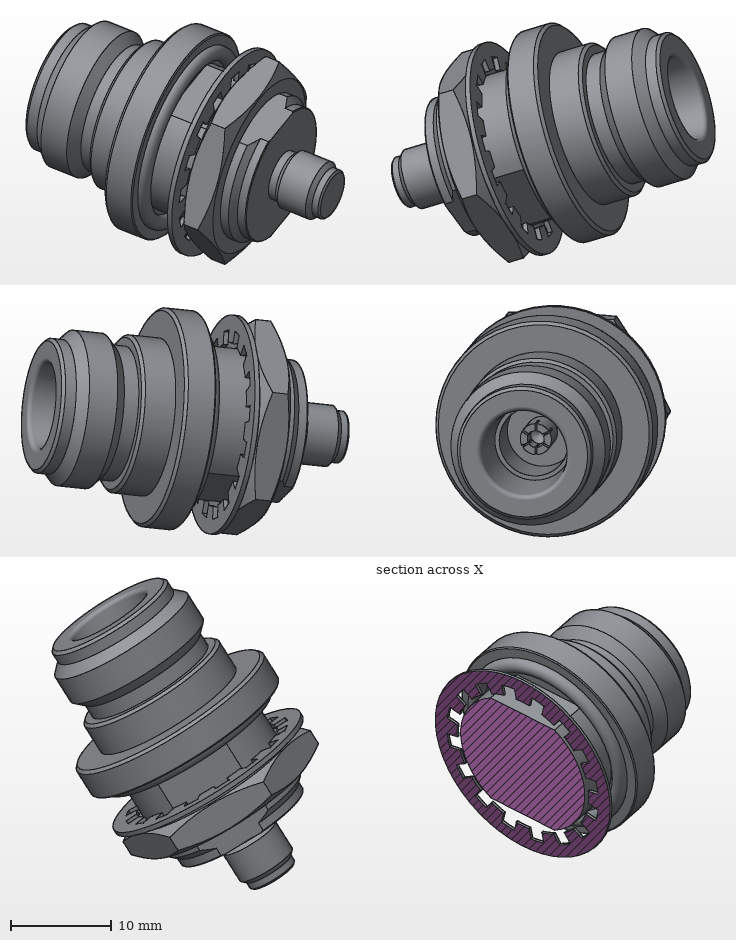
import cadquery as cq
import math

TOTAL_LENGTH = 31.55

COLLAR_RADIUS = 6.78
THREAD_RADIUS = 7.82
EDGE_CHAMFER = 0.3
FRONT_COLLAR_END = 1.45
THREAD_RUNOUT = THREAD_RADIUS - COLLAR_RADIUS
THREAD_END = 6.5
SHOULDER_START = 8.0
SHOULDER_RADIUS = 7.95

FLANGE_START = 11.5
FLANGE_END = 14.75
FLANGE_RADIUS = 11.0
FLANGE_REAR_CHAMFER = 0.13

BARREL_RADIUS = THREAD_RADIUS
BARREL_TIP_RADIUS = 7.15
BARREL_TAPER_START = 24.05
BARREL_TAPER_END = 24.7
BARREL_END = 25.68
BARREL_EDGE_CHAMFER = 0.1
FLAT_HEIGHT = 6.72

TAIL_NECK_RADIUS = 2.62
TAIL_THREAD_RADIUS = 3.1
TAIL_RUNOUT = TAIL_THREAD_RADIUS - TAIL_NECK_RADIUS
TAIL_NECK_END = 26.5
TAIL_THREAD_END = 30.67
TAIL_EDGE_CHAMFER = 0.2

BORE_RADIUS = 4.32
BORE_MOUTH_FILLET = 0.47
BORE_DEPTH = 5.75
BORE_SEAT_RADIUS = 3.95
CONTACT_BORE_RADIUS = 3.5
CONTACT_BORE_DEPTH = 10.4

PIN_RADIUS = 1.58
PIN_FACE = 6.95
PIN_HOLE_RADIUS = 0.85
PIN_HOLE_DEPTH = 1.9
DRILL_POINT_DEPTH = 0.47
PIN_SLOT_COUNT = 6
PIN_SLOT_WIDTH = 0.2
PIN_SLOT_DEPTH = 1.58

GASKET_OUTER_RADIUS = 9.85
GASKET_SECTION_RADIUS = 0.8
GASKET_STANDOFF = 0.95

WASHER_START = 18.85
WASHER_THICKNESS = 0.5
WASHER_RADIUS = FLANGE_RADIUS
TOOTH_TIP_RADIUS = 8.25
TOOTH_ROOT_RADIUS = 9.5
TOOTH_COUNT = 16
TOOTH_GAP_WIDTH = 1.58

NUT_START = 19.9
NUT_THICKNESS = 3.22
NUT_ACROSS_FLATS = 19.0
NUT_CHAMFER_LENGTH = 0.82
NUT_FACE_RADIUS = 9.35


def revolve_about_x(outline):
    """Revolve a closed sketch of (x, radius) points about the X axis."""
    return outline.close().revolve(360, (0, 0, 0), (1, 0, 0))


def cylinder(start, length, radius):
    return cq.Workplane("YZ", origin=(start, 0, 0)).circle(radius).extrude(length)


def make_large_end():
    points = [
        (0, 0),
        (0, COLLAR_RADIUS - EDGE_CHAMFER),
        (EDGE_CHAMFER, COLLAR_RADIUS),
        (FRONT_COLLAR_END, COLLAR_RADIUS),
        (FRONT_COLLAR_END + THREAD_RUNOUT, THREAD_RADIUS),
        (THREAD_END - THREAD_RUNOUT, THREAD_RADIUS),
        (THREAD_END, COLLAR_RADIUS),
        (SHOULDER_START, COLLAR_RADIUS),
        (SHOULDER_START, SHOULDER_RADIUS - EDGE_CHAMFER),
        (SHOULDER_START + EDGE_CHAMFER, SHOULDER_RADIUS),
        (FLANGE_START, SHOULDER_RADIUS),
        (FLANGE_START, 0),
    ]
    return revolve_about_x(cq.Workplane("XY").polyline(points))


def make_flange():
    flange = cylinder(FLANGE_START, FLANGE_END - FLANGE_START, FLANGE_RADIUS)
    return flange.faces("<X").chamfer(EDGE_CHAMFER).faces(">X").chamfer(FLANGE_REAR_CHAMFER)


def make_barrel():
    points = [
        (FLANGE_END, 0),
        (FLANGE_END, BARREL_RADIUS),
        (BARREL_TAPER_START, BARREL_RADIUS),
        (BARREL_TAPER_END, BARREL_TIP_RADIUS),
        (BARREL_END - BARREL_EDGE_CHAMFER, BARREL_TIP_RADIUS),
        (BARREL_END, BARREL_TIP_RADIUS - BARREL_EDGE_CHAMFER),
        (BARREL_END, 0),
    ]
    barrel = revolve_about_x(cq.Workplane("XY").polyline(points))
    outside_flats = (
        cylinder(FLANGE_END, BARREL_END - FLANGE_END, FLANGE_RADIUS)
        - cq.Workplane("XY").box(2 * TOTAL_LENGTH, 2 * FLANGE_RADIUS, 2 * FLAT_HEIGHT)
    )
    return barrel.cut(outside_flats)


def make_tail():
    points = [
        (BARREL_END, 0),
        (BARREL_END, TAIL_NECK_RADIUS),
        (TAIL_NECK_END, TAIL_NECK_RADIUS),
        (TAIL_NECK_END + TAIL_RUNOUT, TAIL_THREAD_RADIUS),
        (TAIL_THREAD_END - TAIL_RUNOUT, TAIL_THREAD_RADIUS),
        (TAIL_THREAD_END, TAIL_NECK_RADIUS),
        (TOTAL_LENGTH - TAIL_EDGE_CHAMFER, TAIL_NECK_RADIUS),
        (TOTAL_LENGTH, TAIL_NECK_RADIUS - TAIL_EDGE_CHAMFER),
        (TOTAL_LENGTH, 0),
    ]
    return revolve_about_x(cq.Workplane("XY").polyline(points))


def make_bore():
    """Volume of the stepped bore with its rounded mouth and tapered wall."""
    outline = (
        cq.Workplane("XY")
        .moveTo(0, 0)
        .lineTo(0, BORE_RADIUS + BORE_MOUTH_FILLET)
        .radiusArc((BORE_MOUTH_FILLET, BORE_RADIUS), -BORE_MOUTH_FILLET)
        .lineTo(BORE_DEPTH, BORE_SEAT_RADIUS)
        .lineTo(BORE_DEPTH, CONTACT_BORE_RADIUS)
        .lineTo(CONTACT_BORE_DEPTH, CONTACT_BORE_RADIUS)
        .lineTo(CONTACT_BORE_DEPTH, 0)
    )
    return revolve_about_x(outline)


def make_contact():
    """Centre contact with a drilled, radially slotted socket."""
    contact = cylinder(PIN_FACE, CONTACT_BORE_DEPTH - PIN_FACE, PIN_RADIUS)
    hole_end = PIN_FACE + PIN_HOLE_DEPTH
    hole_points = [
        (PIN_FACE, 0),
        (PIN_FACE, PIN_HOLE_RADIUS),
        (hole_end, PIN_HOLE_RADIUS),
        (hole_end + DRILL_POINT_DEPTH, 0),
    ]
    contact = contact.cut(revolve_about_x(cq.Workplane("XY").polyline(hole_points)))
    slot = cq.Workplane("XY").box(
        PIN_SLOT_DEPTH, PIN_SLOT_WIDTH, PIN_RADIUS, centered=(False, True, False)
    ).translate((PIN_FACE, 0, 0))
    slot_pitch = 360 / PIN_SLOT_COUNT
    for i in range(PIN_SLOT_COUNT):
        contact = contact.cut(slot.rotate((0, 0, 0), (1, 0, 0), i * slot_pitch))
    return contact


def make_housing():
    shell = make_large_end().union(make_flange()).union(make_barrel()).union(make_tail())
    return shell.cut(make_bore()).union(make_contact()).cut(make_gasket())


def make_gasket():
    ring_radius = GASKET_OUTER_RADIUS - GASKET_SECTION_RADIUS
    section_x = FLANGE_END + GASKET_STANDOFF - GASKET_SECTION_RADIUS
    section = cq.Workplane("XY").center(section_x, ring_radius).circle(GASKET_SECTION_RADIUS)
    return section.revolve(360, (0, -ring_radius, 0), (1, -ring_radius, 0))


def make_washer():
    washer = cylinder(WASHER_START, WASHER_THICKNESS, WASHER_RADIUS)
    washer = washer.cut(cylinder(WASHER_START, WASHER_THICKNESS, TOOTH_TIP_RADIUS))
    gap = cq.Workplane("XY").box(
        WASHER_THICKNESS, TOOTH_GAP_WIDTH, WASHER_RADIUS, centered=(False, True, False)
    ).translate((WASHER_START, 0, 0))
    gap = gap.intersect(cylinder(WASHER_START, WASHER_THICKNESS, TOOTH_ROOT_RADIUS))
    pitch = 360 / TOOTH_COUNT
    for i in range(TOOTH_COUNT):
        washer = washer.cut(gap.rotate((0, 0, 0), (1, 0, 0), (i + 0.5) * pitch))
    return washer


def make_nut():
    corner_radius = NUT_ACROSS_FLATS / 2 / math.cos(math.radians(30))
    hexagon = (
        cq.Workplane("YZ", origin=(NUT_START, 0, 0))
        .polygon(6, 2 * corner_radius)
        .extrude(NUT_THICKNESS)
    )
    nut_end = NUT_START + NUT_THICKNESS
    chamfer_points = [
        (NUT_START, 0),
        (NUT_START, NUT_FACE_RADIUS),
        (NUT_START + NUT_CHAMFER_LENGTH, corner_radius),
        (nut_end - NUT_CHAMFER_LENGTH, corner_radius),
        (nut_end, NUT_FACE_RADIUS),
        (nut_end, 0),
    ]
    chamfered = hexagon.intersect(revolve_about_x(cq.Workplane("XY").polyline(chamfer_points)))
    return chamfered.cut(cylinder(NUT_START, NUT_THICKNESS, BARREL_RADIUS))


housing = make_housing()
gasket = make_gasket()
washer = make_washer()
nut = make_nut()

result = cq.Compound.makeCompound([housing.val(), gasket.val(), washer.val(), nut.val()])